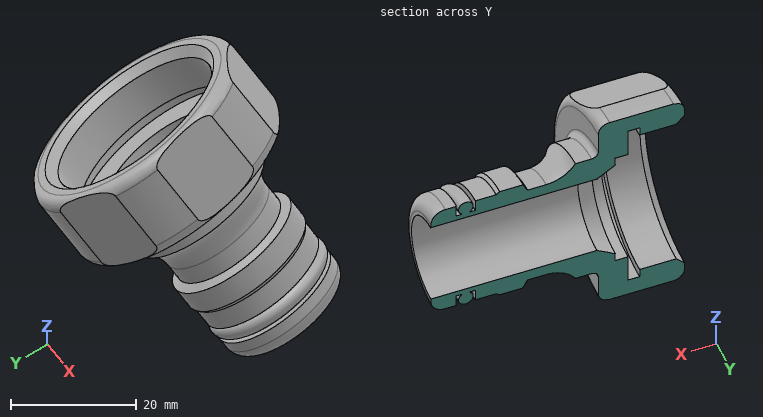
import cadquery as cq
import math

nut_length = 15.0
nut_diameter = 40.0
across_flats = 38.0
nut_edge_radius = 2.0

mouth_diameter = 33.2
cavity_diameter = 30.25
relief_diameter = 33.5
relief_start = 7.85
cavity_depth = 9.8
seat_diameter = 23.0
seat_depth = 12.0

bore_diameter = 16.0
bore_entry_diameter = 19.98
bore_entry_length = 3.2

total_length = 44.0
collar_diameter = 26.0
collar_end = 18.95
collar_fillet_radius = 1.15
neck_diameter = 20.4
neck_fillet_radius = 6.0
shoulder_diameter = 23.4
shoulder_start = 27.25
shoulder_full = 28.05
shoulder_end = 32.08
shoulder_step_end = 32.7
spigot_diameter = 22.5
tip_radius = 2.5

ring_diameter = 23.0
ring_section_radius = 1.3
ring_center = 37.95
groove_start = 36.3
groove_end = 39.55
ring_seat_overlap = 0.2


def revolve_about_x(profile):
    return profile.close().revolve(360, (0, 0, 0), (1, 0, 0))


def arc_point(center_x, center_r, radius, angle):
    """Point on an arc in the X-radius plane, angle in degrees from +X."""
    a = math.radians(angle)
    return (center_x + radius * math.cos(a), center_r + radius * math.sin(a))


def make_nut():
    hexagon = cq.Workplane("YZ").polygon(6, across_flats / math.cos(math.pi / 6)).extrude(nut_length)
    hexagon = hexagon.rotate((0, 0, 0), (1, 0, 0), 30)
    blank = cq.Workplane("YZ").circle(nut_diameter / 2).extrude(nut_length)
    return blank.edges().fillet(nut_edge_radius).intersect(hexagon)


def make_spigot():
    collar_r = collar_diameter / 2
    neck_r = neck_diameter / 2
    shoulder_r = shoulder_diameter / 2
    spigot_r = spigot_diameter / 2
    groove_r = ring_diameter / 2 - 2 * ring_section_radius + ring_seat_overlap
    collar_start = nut_length + collar_fillet_radius

    neck_center_r = neck_r + neck_fillet_radius
    sweep_cosine = (neck_center_r - collar_r) / neck_fillet_radius
    sweep = math.degrees(math.acos(sweep_cosine))
    neck_start = collar_end + neck_fillet_radius * math.sin(math.radians(sweep))

    collar_mid = arc_point(collar_start, collar_r + collar_fillet_radius, collar_fillet_radius, 225)
    neck_mid = arc_point(neck_start, neck_center_r, neck_fillet_radius, 270 - sweep / 2)
    tip_mid = arc_point(total_length - tip_radius, spigot_r - tip_radius, tip_radius, 45)

    profile = (
        cq.Workplane("XY")
        .moveTo(cavity_depth, 0)
        .lineTo(cavity_depth, collar_r + collar_fillet_radius)
        .lineTo(nut_length, collar_r + collar_fillet_radius)
        .threePointArc(collar_mid, (collar_start, collar_r))
        .lineTo(collar_end, collar_r)
        .threePointArc(neck_mid, (neck_start, neck_r))
        .lineTo(shoulder_start, neck_r)
        .lineTo(shoulder_full, shoulder_r)
        .lineTo(shoulder_end, shoulder_r)
        .lineTo(shoulder_step_end, spigot_r)
        .lineTo(groove_start, spigot_r)
        .lineTo(groove_start, groove_r)
        .lineTo(groove_end, groove_r)
        .lineTo(groove_end, spigot_r)
        .lineTo(total_length - tip_radius, spigot_r)
        .threePointArc(tip_mid, (total_length, spigot_r - tip_radius))
        .lineTo(total_length, 0)
    )
    return revolve_about_x(profile)


def make_sealing_ring():
    center_r = ring_diameter / 2 - ring_section_radius
    section = cq.Workplane("XY").center(ring_center, center_r).circle(ring_section_radius)
    return section.revolve(360, (0, -center_r, 0), (1, -center_r, 0))


def make_cavity():
    mouth_r = mouth_diameter / 2
    cavity_r = cavity_diameter / 2
    bore_r = bore_diameter / 2
    entry_r = bore_entry_diameter / 2
    mouth_chamfer = mouth_r - cavity_r
    bore_start = seat_depth + bore_entry_length

    profile = (
        cq.Workplane("XY")
        .moveTo(0, 0)
        .lineTo(0, mouth_r)
        .lineTo(mouth_chamfer, cavity_r)
        .lineTo(relief_start, cavity_r)
        .lineTo(relief_start, relief_diameter / 2)
        .lineTo(cavity_depth, relief_diameter / 2)
        .lineTo(cavity_depth, seat_diameter / 2)
        .lineTo(seat_depth, seat_diameter / 2)
        .lineTo(seat_depth, entry_r)
        .lineTo(bore_start, bore_r)
        .lineTo(total_length, bore_r)
        .lineTo(total_length, 0)
    )
    return revolve_about_x(profile)


result = make_nut().union(make_spigot()).union(make_sealing_ring()).cut(make_cavity())